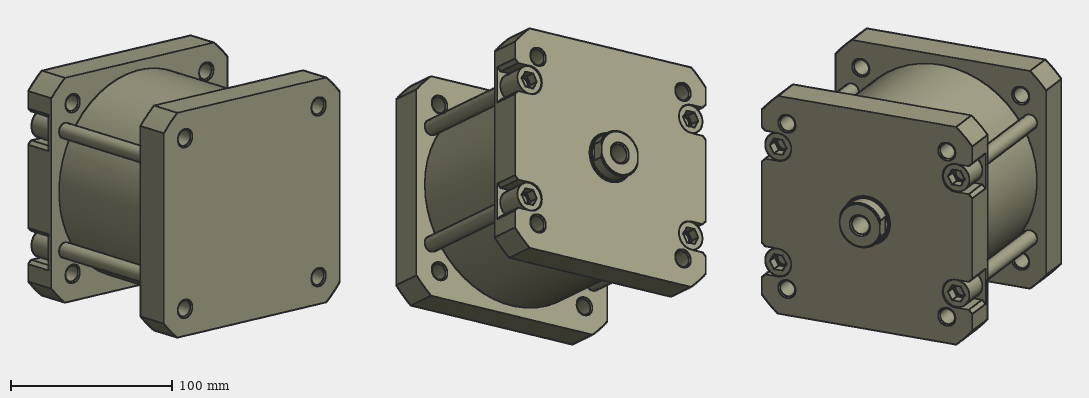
import cadquery as cq
import math


cap_width = 145.0
cap_corner_diameter = 190.0
cap_thickness = 22.0
barrel_length = 84.0
barrel_diameter = 132.5
rear_cap_x = cap_thickness + barrel_length

mount_spacing = 110.0
mount_hole_diameter = 10.2
mount_hole_chamfer = 0.9

tie_spacing_y = 122.6
tie_spacing_z = 77.0
tie_rod_diameter = 10.0
tie_rear_engagement = 12.0
tie_head_diameter = 18.0
tie_head_recess = 0.5
hex_across_flats = 10.0
hex_depth = 7.0
socket_pilot_diameter = 8.4
socket_pilot_depth = 1.0

pocket_width = 18.6
pocket_depth = 19.0
pocket_mouth_chamfer = 2.4

rod_bore_chamfer = 1.0
rod_diameter = 30.0
rod_nose_diameter = 29.5
rod_nose_length = 9.3
rod_protrusion = 10.0
rod_end_chamfer = 0.8
rod_across_flats = 27.5
rod_flat_length = 8.0
rod_thread_diameter = 12.0
rod_thread_depth = 20.0
rod_thread_chamfer = 1.0
drill_tip_angle = 118.0

mount_points = [(y * mount_spacing / 2, z * mount_spacing / 2) for y in (-1, 1) for z in (-1, 1)]
tie_points = [(y * tie_spacing_y / 2, z * tie_spacing_z / 2) for y in (-1, 1) for z in (-1, 1)]


def plane_at(x):
    """Workplane facing +X, whose local axes are global Y and Z."""
    return cq.Workplane("YZ", origin=(x, 0, 0))


def rod_along_x(x_start, length, diameter, points=((0, 0),)):
    """Round bars along +X, centred on the given (Y, Z) points."""
    return plane_at(x_start).pushPoints(points).circle(diameter / 2).extrude(length)


def cone_along_x(x_start, length, start_diameter, end_diameter, y=0.0, z=0.0):
    """Cone or truncated cone along +X."""
    return cq.Workplane(cq.Solid.makeCone(
        start_diameter / 2, end_diameter / 2, length, cq.Vector(x_start, y, z), cq.Vector(1, 0, 0)))


def make_cap(x_start):
    """Square cap with turned corners and chamfered mounting holes."""
    cap = plane_at(x_start).rect(cap_width, cap_width).extrude(cap_thickness)
    cap = cap.intersect(rod_along_x(x_start, cap_thickness, cap_corner_diameter))
    cap = cap.cut(rod_along_x(x_start, cap_thickness, mount_hole_diameter, mount_points))
    mouth_diameter = mount_hole_diameter + 2 * mount_hole_chamfer
    rear_chamfer_x = x_start + cap_thickness - mount_hole_chamfer
    for y, z in mount_points:
        cap = cap.cut(cone_along_x(x_start, mount_hole_chamfer, mouth_diameter, mount_hole_diameter, y, z))
        cap = cap.cut(cone_along_x(rear_chamfer_x, mount_hole_chamfer, mount_hole_diameter, mouth_diameter, y, z))
    return cap


def make_head_pocket(side, z_center):
    """Round-ended pocket open at the cap's side (side is +1 or -1), with a chamfered mouth."""
    y_center = side * tie_spacing_y / 2
    y_edge = side * cap_width / 2
    y_chamfer = y_edge - side * pocket_mouth_chamfer
    half_width = pocket_width / 2
    half_mouth = half_width + pocket_mouth_chamfer
    return (
        plane_at(0)
        .moveTo(y_center, z_center + half_width)
        .lineTo(y_chamfer, z_center + half_width)
        .lineTo(y_edge, z_center + half_mouth)
        .lineTo(y_edge, z_center - half_mouth)
        .lineTo(y_chamfer, z_center - half_width)
        .lineTo(y_center, z_center - half_width)
        .threePointArc((y_center - side * half_width, z_center), (y_center, z_center + half_width))
        .close()
        .extrude(pocket_depth)
    )


def make_front_cap():
    """Cap with the piston rod bore, the head pockets and the tie rod holes."""
    cap = make_cap(0)
    cap = cap.cut(rod_along_x(0, cap_thickness, rod_diameter))
    cap = cap.cut(cone_along_x(0, rod_bore_chamfer, rod_diameter + 2 * rod_bore_chamfer, rod_diameter))
    for side in (-1, 1):
        for z_side in (-1, 1):
            cap = cap.cut(make_head_pocket(side, z_side * tie_spacing_z / 2))
    return cap.cut(rod_along_x(0, cap_thickness, tie_rod_diameter, tie_points))


def make_rear_cap():
    """Cap with blind holes that take the tie rod ends."""
    cap = make_cap(rear_cap_x)
    return cap.cut(rod_along_x(rear_cap_x, tie_rear_engagement, tie_rod_diameter, tie_points))


def make_barrel():
    """Plain round barrel between the caps."""
    return rod_along_x(cap_thickness, barrel_length, barrel_diameter)


def make_tie_rod(y, z):
    """Tie rod with a round hex-socket head seated in its pocket."""
    head = rod_along_x(tie_head_recess, pocket_depth - tie_head_recess, tie_head_diameter)
    hex_across_corners = hex_across_flats / math.cos(math.pi / 6)
    hex_socket = plane_at(tie_head_recess).polygon(6, hex_across_corners).extrude(hex_depth)
    pilot = rod_along_x(tie_head_recess, hex_depth + socket_pilot_depth, socket_pilot_diameter)
    shank_length = rear_cap_x + tie_rear_engagement - pocket_depth
    shank = rod_along_x(pocket_depth, shank_length, tie_rod_diameter)
    return head.cut(hex_socket).cut(pilot).union(shank).translate((0, y, z))


def make_piston_rod():
    """Piston rod with a slightly reduced nose, two wrench flats, sloped shoulders and a tapped bore."""
    nose = rod_along_x(-rod_protrusion, rod_nose_length, rod_nose_diameter)
    nose = nose.faces("<X").edges().chamfer(rod_end_chamfer)
    guided_length = rod_protrusion + cap_thickness - rod_nose_length
    rod = nose.union(rod_along_x(rod_nose_length - rod_protrusion, guided_length, rod_diameter))

    flat_y = rod_across_flats / 2
    flat_depth = rod_diameter / 2 - flat_y
    flat_end_x = rod_flat_length - rod_protrusion
    for side in (-1, 1):
        flat_cut = (
            cq.Workplane("XY")
            .moveTo(-rod_protrusion, side * flat_y)
            .lineTo(flat_end_x, side * flat_y)
            .lineTo(flat_end_x + flat_depth, side * rod_diameter / 2)
            .lineTo(-rod_protrusion, side * rod_diameter / 2)
            .close()
            .extrude(rod_diameter / 2, both=True)
        )
        rod = rod.cut(flat_cut)

    tip_length = rod_thread_diameter / 2 / math.tan(math.radians(drill_tip_angle / 2))
    mouth_diameter = rod_thread_diameter + 2 * rod_thread_chamfer
    rod = rod.cut(rod_along_x(-rod_protrusion, rod_thread_depth, rod_thread_diameter))
    rod = rod.cut(cone_along_x(rod_thread_depth - rod_protrusion, tip_length, rod_thread_diameter, 0))
    return rod.cut(cone_along_x(-rod_protrusion, rod_thread_chamfer, mouth_diameter, rod_thread_diameter))


front_cap = make_front_cap()
rear_cap = make_rear_cap()
barrel = make_barrel()
piston_rod = make_piston_rod()
tie_rods = [make_tie_rod(y, z) for y, z in tie_points]

result = cq.Compound.makeCompound([
    front_cap.val(),
    rear_cap.val(),
    barrel.val(),
    piston_rod.val(),
    *[tie_rod.val() for tie_rod in tie_rods],
])